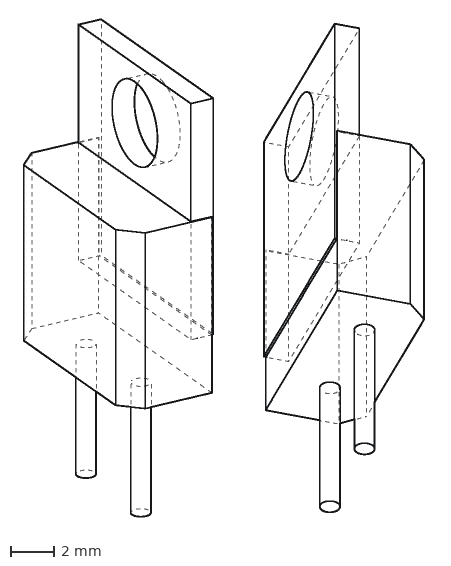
import cadquery as cq

total_height = 21.55
total_depth = 4.7

tab_width = 10.4
tab_height = 11.98
tab_thickness = 1.2
tab_exposed_height = 5.99
tab_protrusion = 0.1
hole_diameter = 4.2
hole_below_top = 3.0

housing_width = 10.53
housing_depth = total_depth - tab_protrusion
front_chamfer = 1.01

lead_diameter = 0.95
lead_length = 6.63
lead_pitch = 5.08
lead_y = 2.35

housing_bottom = lead_length
housing_top = total_height - tab_exposed_height
housing_height = housing_top - housing_bottom
tab_bottom = total_height - tab_height
tab_front = total_depth - tab_thickness


def make_tab_blank():
    """Plain plate, also used to cut the matching recess in the housing."""
    return (
        cq.Workplane("XY")
        .box(tab_width, tab_thickness, tab_height, centered=(True, False, False))
        .translate((0, tab_front, tab_bottom))
    )


def make_tab():
    """Mounting plate with a screw hole through its exposed upper part."""
    hole_z = total_height - hole_below_top
    hole = (
        cq.Workplane("XZ", origin=(0, total_depth, hole_z))
        .circle(hole_diameter / 2)
        .extrude(tab_thickness)
    )
    return make_tab_blank().cut(hole)


def make_lead(x):
    """Round lead running down from the housing bottom."""
    return (
        cq.Workplane("XY", origin=(x, lead_y, 0))
        .circle(lead_diameter / 2)
        .extrude(lead_length)
    )


def make_housing():
    """Block with chamfered front edges, a tab recess and two leads."""
    block = (
        cq.Workplane("XY")
        .box(housing_width, housing_depth, housing_height, centered=(True, False, False))
        .translate((0, 0, housing_bottom))
        .faces("<Y")
        .edges("|Z")
        .chamfer(front_chamfer)
    )
    body = block.cut(make_tab_blank())
    for side in (-1, 1):
        body = body.union(make_lead(side * lead_pitch / 2))
    return body


tab = make_tab()
housing = make_housing()
result = cq.Compound.makeCompound([tab.val(), *housing.solids().vals()])